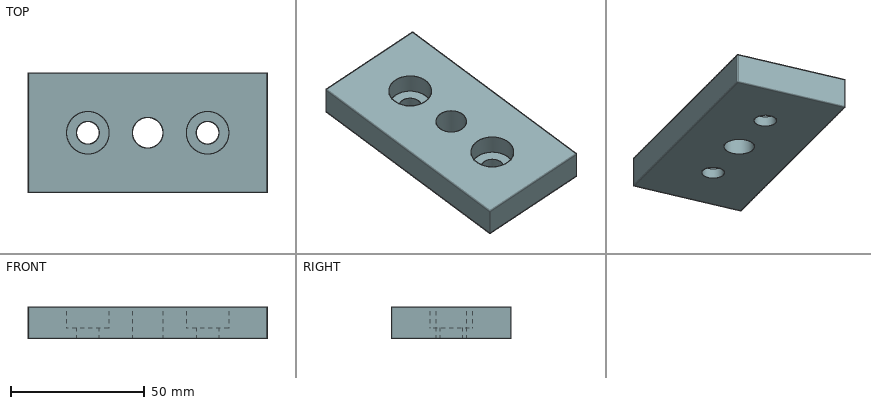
import cadquery as cq

length = 90.0
width = length / 2
thickness = 12.0
edge_radius = 0.3

centre_hole_diameter = 11.4
screw_hole_diameter = 8.5
counterbore_diameter = 16.0
counterbore_depth = 8.0
screw_spacing = length / 2

plate = cq.Workplane("XY").box(length, width, thickness, centered=(True, True, False))
plate = plate.edges().fillet(edge_radius)

plate = plate.faces(">Z").workplane().hole(centre_hole_diameter)

screw_positions = [(-screw_spacing / 2, 0), (screw_spacing / 2, 0)]
result = (
    plate.faces(">Z")
    .workplane(origin=(0, 0, thickness))
    .pushPoints(screw_positions)
    .cboreHole(screw_hole_diameter, counterbore_diameter, counterbore_depth)
)